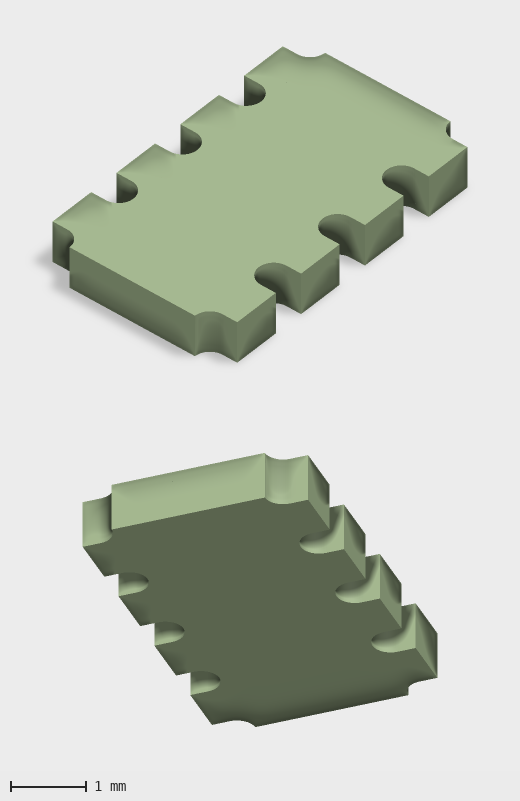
import cadquery as cq

length = 5.23
width = 3.2
height = 0.7

terminals_per_side = 4
pitch = length / terminals_per_side
terminal_width = 0.79
wall_thickness = 0.09
plate_thickness = 0.1
plate_reach = 0.37
tab_width = 0.405

cover_width = 2.175
cover_thickness = 0.15

notch_radius = (pitch - terminal_width) / 2
cover_overhang = 0.0005
notch_bottom_x = cover_width / 2 - cover_overhang


def box(x_min, x_max, y_center, y_size, z_min, z_max):
    """Upright block, centred on y_center."""
    return (
        cq.Workplane("XY", origin=((x_min + x_max) / 2, y_center, z_min))
        .rect(x_max - x_min, y_size)
        .extrude(z_max - z_min)
    )


def make_terminal(side, y_center):
    """C-shaped terminal clip: wide foot, wide wall and narrow tab; side is +1 or -1 along X."""
    outer_x = width / 2
    inner_x = outer_x - plate_reach
    wall = box(outer_x - wall_thickness, outer_x, y_center, terminal_width, 0, height)
    foot = box(inner_x, outer_x, y_center, terminal_width, 0, plate_thickness)
    tab = box(inner_x, outer_x, y_center, tab_width, height - plate_thickness, height)
    clip = wall.union(foot).union(tab)
    return clip.mirror("YZ") if side < 0 else clip


def make_notch(side, y_center):
    """Slot with a half-round bottom, open at the outer face."""
    round_center_x = notch_bottom_x + notch_radius
    round_bottom = (
        cq.Workplane("XY")
        .center(round_center_x, y_center)
        .circle(notch_radius)
        .extrude(height)
    )
    mouth = box(round_center_x, width, y_center, 2 * notch_radius, 0, height)
    notch = round_bottom.union(mouth)
    return notch.mirror("YZ") if side < 0 else notch


def make_notched_block():
    """Full package block with notches between the terminals and at the four corners."""
    block = box(-width / 2, width / 2, 0, length, 0, height)
    for side in (-1, 1):
        for index in range(terminals_per_side + 1):
            block = block.cut(make_notch(side, index * pitch - length / 2))
    return block


notched_block = make_notched_block()

cover = box(-cover_width / 2, cover_width / 2, 0, length, height - cover_thickness, height)

terminals = [
    make_terminal(side, (index + 0.5) * pitch - length / 2)
    for side in (-1, 1)
    for index in range(terminals_per_side)
]

substrate = notched_block.cut(cover)
for terminal in terminals:
    substrate = substrate.cut(terminal)

result = cq.Compound.makeCompound(
    [substrate.solids().val(), cover.val(), *[terminal.solids().val() for terminal in terminals]]
)